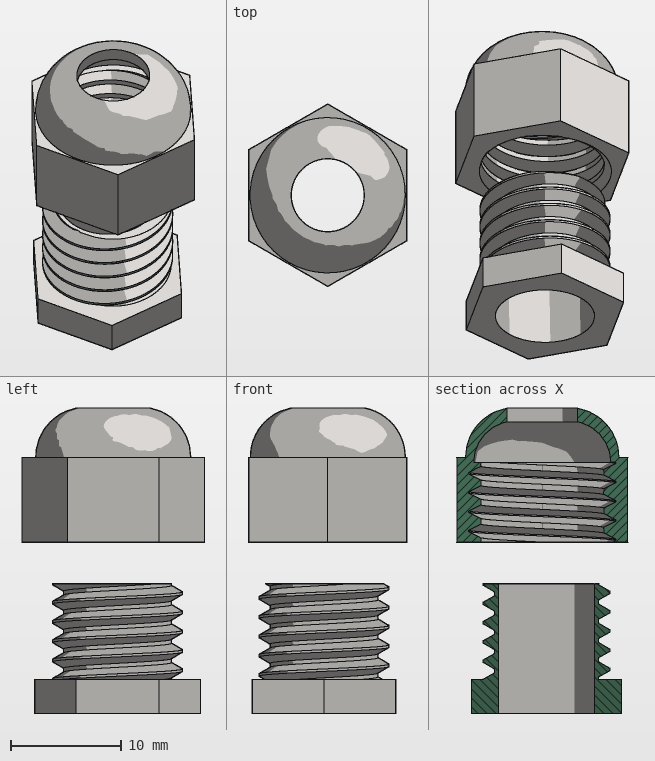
import cadquery as cq
import math

total_height = 27.8
nut_bottom = 15.57
nut_hex_top = 23.3
bolt_head_height = 3.11
bolt_height = 11.82

nut_across_flats = 14.38
dome_radius = 7.05
cable_hole_radius = 6.62 / 2
dome_wall = 0.78
cavity_floor = 22.85
cavity_hole_edge = 26.53

bolt_x = -0.33
bolt_y = -0.4
bolt_across_flats = 13.07
bolt_bore_radius = 9.0 / 2

pitch = 1.75
ridge_embed = 0.08
bolt_root_radius = 9.85 / 2
bolt_crest_radius = 11.85 / 2
bolt_crest_flat = 0.22
bolt_ridge_base = 1.4
bolt_crest_z = 2.65
nut_bore_radius = 11.3 / 2
nut_groove_radius = 13.45 / 2
nut_groove_flat = 0.1
nut_groove_mouth = 1.22
nut_groove_z = 21.47


def hexagon(across_flats, bottom, top):
    """Hexagonal prism with corners on the Y axis."""
    corner_diameter = across_flats / math.cos(math.pi / 6)
    prism = cq.Workplane("XY").polygon(6, corner_diameter).extrude(top - bottom)
    return prism.rotate((0, 0, 0), (0, 0, 1), 90).translate((0, 0, bottom))


def cylinder(radius, bottom, top):
    return cq.Workplane("XY").workplane(offset=bottom).circle(radius).extrude(top - bottom)


def threaded_rod(core_radius, crest_radius, crest_flat, base_width, ridge_z, bottom, top):
    """Cylinder with a helical trapezoidal ridge, cut flat at both ends."""
    start_z = ridge_z - pitch * math.ceil((ridge_z - bottom) / pitch + 1)
    turns = math.ceil((top - start_z) / pitch) + 1
    flank_slope = (base_width - crest_flat) / 2 / (crest_radius - core_radius)
    half_base = base_width / 2 + ridge_embed * flank_slope
    inner_radius = core_radius - ridge_embed
    profile = cq.Workplane("XZ").polyline([
        (inner_radius, -half_base),
        (crest_radius, -crest_flat / 2),
        (crest_radius, crest_flat / 2),
        (inner_radius, half_base),
    ]).close()
    helix = cq.Workplane(obj=cq.Wire.makeHelix(pitch, turns * pitch, core_radius))
    ridge = profile.sweep(helix, isFrenet=True).translate((0, 0, start_z))
    ridge = ridge.intersect(cylinder(2 * crest_radius, bottom, top))
    return cylinder(core_radius, bottom, top).union(ridge)


def dome(base_radius, base, edge_z):
    """Rounded cap whose arc is vertical at the base and ends at the cable hole edge."""
    height = edge_z - base
    reach = base_radius - cable_hole_radius
    arc_radius = (height ** 2 + reach ** 2) / (2 * reach)
    arc_centre = base_radius - arc_radius
    half_angle = math.atan2(height, cable_hole_radius - arc_centre) / 2
    mid_point = (
        arc_centre + arc_radius * math.cos(half_angle),
        base + arc_radius * math.sin(half_angle),
    )
    return (
        cq.Workplane("XZ")
        .moveTo(0, base)
        .lineTo(base_radius, base)
        .threePointArc(mid_point, (cable_hole_radius, edge_z))
        .lineTo(0, edge_z)
        .close()
        .revolve(360, (0, 0, 0), (0, 1, 0))
    )


def make_nut():
    body = hexagon(nut_across_flats, nut_bottom, nut_hex_top)
    body = body.union(dome(dome_radius, nut_hex_top, total_height))
    cavity = dome(dome_radius - dome_wall, cavity_floor, cavity_hole_edge)
    thread_cutter = threaded_rod(
        nut_bore_radius, nut_groove_radius, nut_groove_flat, nut_groove_mouth,
        nut_groove_z, nut_bottom, cavity_floor,
    )
    cable_hole = cylinder(cable_hole_radius, cavity_floor, total_height)
    return body.cut(thread_cutter).cut(cavity).cut(cable_hole)


def make_bolt():
    head = hexagon(bolt_across_flats, 0, bolt_head_height)
    shank = threaded_rod(
        bolt_root_radius, bolt_crest_radius, bolt_crest_flat, bolt_ridge_base,
        bolt_crest_z, bolt_head_height, bolt_height,
    )
    bore = cylinder(bolt_bore_radius, 0, bolt_height)
    return head.union(shank).cut(bore).translate((bolt_x, bolt_y, 0))


nut = make_nut()
bolt = make_bolt()
result = cq.Compound.makeCompound([nut.solids().val(), bolt.solids().val()])